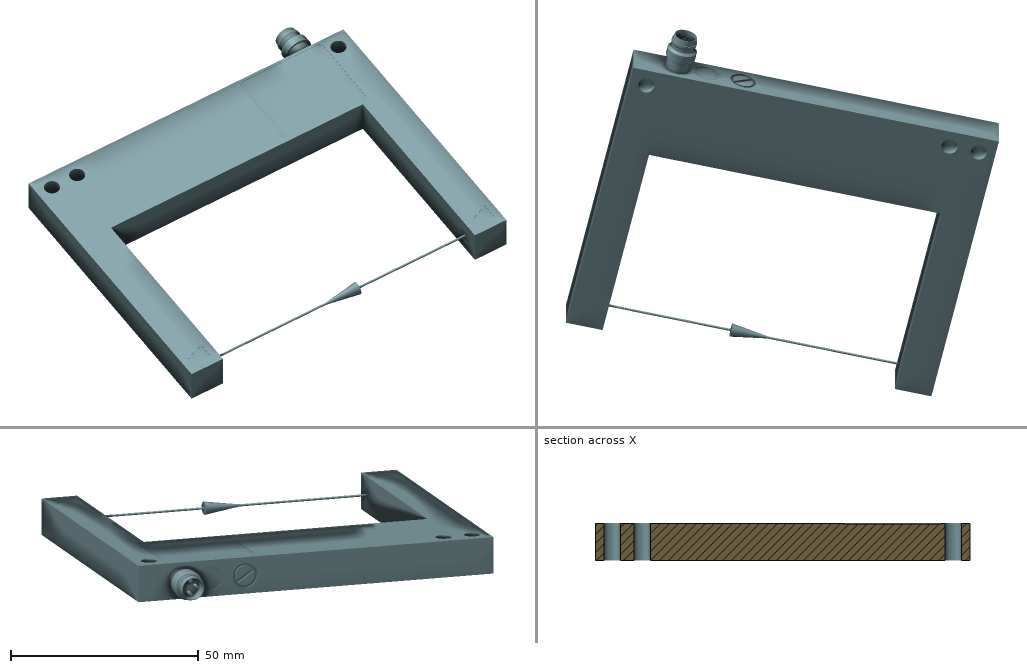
import cadquery as cq
import math

HOUSING_X = 80.0
HOUSING_Y = 100.0
HOUSING_Z = 10.0
ARM_WIDTH = 10.0
BACK_WIDTH = 25.0
MID_Z = HOUSING_Z / 2

MOUNT_DIAMETER = 4.3
MOUNT_INSET = 4.5
MOUNT_PITCH = 8.0

MARK_DEPTH = 0.1
COVER_MARGIN = 0.8
COVER_LENGTH = 26.3
COVER_END_Y = 92.3
COVER_CORNER = 1.5
ARROW_WIDTH = 4.8
ARROW_LENGTH = 5.8
ARROW_TIP_OFFSET = 2.0
LENS_DIAMETER = 4.0
APERTURE_DIAMETER = 1.0
APERTURE_DEPTH = 2 * MARK_DEPTH

CONNECTOR_Y = 88.0
LAMP_Y = 80.0
ADJUSTER_Y = 70.0
LAMP_DIAMETER = 6.8
LAMP_KEY_WIDTH = 3.0
LAMP_KEY_REACH = 4.1
LAMP_DEPTH = 2 * MARK_DEPTH
ADJUSTER_DIAMETER = 6.9
SCREW_DIAMETER = 5.4
ADJUSTER_DEPTH = 0.5
SCREW_SLOT_WIDTH = 1.0
SCREW_SLOT_ANGLE = 33.0

CONNECTOR_LENGTH = 10.0
TIP_RADIUS = 6.5 / 2
TIP_END_RADIUS = 6.1 / 2
SNAP_RADIUS = 6.9 / 2
COLLAR_RADIUS = 8.0 / 2
STEM_RADIUS = 6.7 / 2
SNAP_START = 1.5
SNAP_END = 2.2
SNAP_TAPER_END = 2.6
COLLAR_TAPER_START = 3.6
COLLAR_START = 4.2
COLLAR_END = 6.5
SOCKET_DIAMETER = 5.8
SOCKET_DEPTH = 4.0
PIN_DIAMETER = 1.0
PIN_LENGTH = 2.0
PIN_CIRCLE_RADIUS = 1.8
PIN_ANGLES = (90, 180, 270)

BEAM_X = 75.0
BEAM_DIAMETER = 0.6
CONE_BASE_RADIUS = 3.6 / 2
CONE_TIP_RADIUS = BEAM_DIAMETER / 2
CONE_BASE_Y = 56.0
CONE_LENGTH = 10.0


def box(x_range, y_range, z_range):
    """Box spanning the given ranges."""
    size = [high - low for low, high in (x_range, y_range, z_range)]
    return cq.Workplane("XY").box(*size, centered=False).translate((x_range[0], y_range[0], z_range[0]))


def x_cylinder(diameter, x_start, length, y, z=MID_Z):
    """Cylinder along +X from x_start."""
    plane = cq.Workplane("YZ", origin=(x_start, y, z))
    return plane.circle(diameter / 2).extrude(length)


def y_cylinder(diameter, y_start, length):
    """Cylinder along +Y on the beam axis."""
    solid = cq.Solid.makeCylinder(
        diameter / 2, length, cq.Vector(BEAM_X, y_start, MID_Z), cq.Vector(0, 1, 0)
    )
    return cq.Workplane(obj=solid)


def make_frame():
    frame = box((0, HOUSING_X), (0, HOUSING_Y), (0, HOUSING_Z))
    opening = box((BACK_WIDTH, HOUSING_X), (ARM_WIDTH, HOUSING_Y - ARM_WIDTH), (0, HOUSING_Z))
    holes = (
        cq.Workplane("XY")
        .pushPoints([
            (MOUNT_INSET, MOUNT_INSET),
            (MOUNT_INSET, MOUNT_INSET + MOUNT_PITCH),
            (MOUNT_INSET, HOUSING_Y - MOUNT_INSET),
        ])
        .circle(MOUNT_DIAMETER / 2)
        .extrude(HOUSING_Z)
    )
    return frame.cut(opening).cut(holes)


def make_cover_mark():
    return box(
        (COVER_MARGIN, BACK_WIDTH - COVER_MARGIN),
        (COVER_END_Y - COVER_LENGTH, COVER_END_Y),
        (HOUSING_Z - MARK_DEPTH, HOUSING_Z),
    ).edges("|Z").fillet(COVER_CORNER)


def make_arrow_mark(tip_y):
    """Triangle on top of an arm, pointing along the beam."""
    base_y = tip_y + ARROW_LENGTH
    return (
        cq.Workplane("XY", origin=(0, 0, HOUSING_Z - MARK_DEPTH))
        .moveTo(BEAM_X, tip_y)
        .lineTo(BEAM_X + ARROW_WIDTH / 2, base_y)
        .lineTo(BEAM_X - ARROW_WIDTH / 2, base_y)
        .close()
        .extrude(MARK_DEPTH)
    )


def make_lamp_mark():
    """Round lamp window with a small, shallower key on its -Y side."""
    key = box(
        (0, MARK_DEPTH),
        (LAMP_Y - LAMP_KEY_REACH, LAMP_Y),
        (MID_Z - LAMP_KEY_WIDTH / 2, MID_Z + LAMP_KEY_WIDTH / 2),
    )
    return x_cylinder(LAMP_DIAMETER, 0, LAMP_DEPTH, LAMP_Y).union(key)


def make_adjuster_cut():
    """Ring gap around the adjusting screw, and the slot across its head."""
    screw = x_cylinder(SCREW_DIAMETER, 0, ADJUSTER_DEPTH, ADJUSTER_Y)
    gap = x_cylinder(ADJUSTER_DIAMETER, 0, ADJUSTER_DEPTH, ADJUSTER_Y).cut(screw)
    slot = (
        cq.Workplane("YZ", origin=(0, ADJUSTER_Y, MID_Z))
        .transformed(rotate=(0, 0, -SCREW_SLOT_ANGLE))
        .rect(SCREW_DIAMETER, SCREW_SLOT_WIDTH)
        .extrude(ADJUSTER_DEPTH)
    )
    return gap.union(slot.intersect(screw))


def make_connector():
    """Round plug on the back face: turned shell, socket and contact pins."""
    tip_x = -CONNECTOR_LENGTH
    outline = [
        (0, 0),
        (0, TIP_END_RADIUS),
        (SNAP_START, TIP_RADIUS),
        (SNAP_START, SNAP_RADIUS),
        (SNAP_END, SNAP_RADIUS),
        (SNAP_TAPER_END, TIP_RADIUS),
        (COLLAR_TAPER_START, TIP_RADIUS),
        (COLLAR_START, COLLAR_RADIUS),
        (COLLAR_END, COLLAR_RADIUS),
        (COLLAR_END, STEM_RADIUS),
        (CONNECTOR_LENGTH, STEM_RADIUS),
        (CONNECTOR_LENGTH, 0),
    ]
    shell = (
        cq.Workplane("XY", origin=(tip_x, CONNECTOR_Y, MID_Z))
        .polyline(outline)
        .close()
        .revolve(360, (0, 0, 0), (1, 0, 0))
    )
    connector = shell.cut(x_cylinder(SOCKET_DIAMETER, tip_x, SOCKET_DEPTH, CONNECTOR_Y))
    for angle in PIN_ANGLES:
        pin_y = CONNECTOR_Y + PIN_CIRCLE_RADIUS * math.cos(math.radians(angle))
        pin_z = MID_Z + PIN_CIRCLE_RADIUS * math.sin(math.radians(angle))
        pin_start = tip_x + SOCKET_DEPTH - PIN_LENGTH
        connector = connector.union(x_cylinder(PIN_DIAMETER, pin_start, PIN_LENGTH, pin_y, pin_z))
    return connector


def make_housing():
    housing = make_frame().cut(make_cover_mark())
    for tip_y in (ARROW_TIP_OFFSET, HOUSING_Y - ARROW_TIP_OFFSET - ARROW_LENGTH):
        housing = housing.cut(make_arrow_mark(tip_y))
    for diameter, depth in ((LENS_DIAMETER, MARK_DEPTH), (APERTURE_DIAMETER, APERTURE_DEPTH)):
        for start_y in (ARM_WIDTH - depth, HOUSING_Y - ARM_WIDTH):
            housing = housing.cut(y_cylinder(diameter, start_y, depth))
    housing = housing.cut(make_lamp_mark()).cut(make_adjuster_cut())
    return housing.union(make_connector())


def make_beam():
    """Thin rod from aperture to aperture, carrying the direction cone."""
    start_y = ARM_WIDTH - APERTURE_DEPTH
    rod = y_cylinder(BEAM_DIAMETER, start_y, HOUSING_Y - 2 * start_y)
    cone = cq.Solid.makeCone(
        CONE_BASE_RADIUS,
        CONE_TIP_RADIUS,
        CONE_LENGTH,
        cq.Vector(BEAM_X, CONE_BASE_Y, MID_Z),
        cq.Vector(0, -1, 0),
    )
    return rod.union(cq.Workplane(obj=cone))


housing = make_housing()
beam = make_beam()
result = cq.Compound.makeCompound([housing.val(), beam.val()])